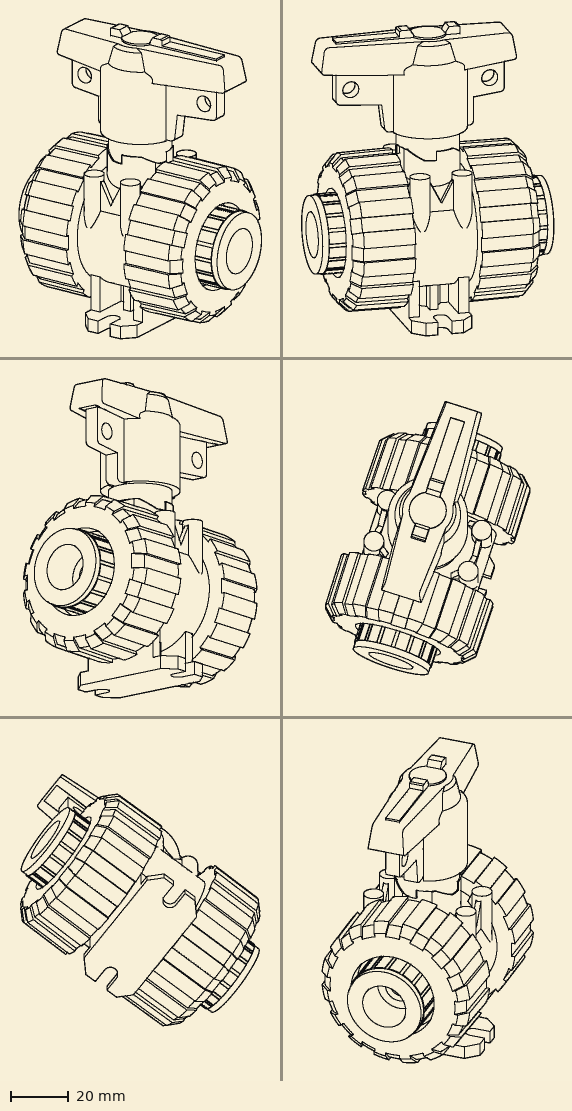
import cadquery as cq
import math

overall_height = 105.2
overall_length = 83.0
nut_span = 55.2
foot_bottom = -32.9
lug_top = foot_bottom + overall_height

body_radius = 21.0
body_half_length = 24.2
bore_radius = 5.0
post_radius = 3.5
post_x = 7.6
post_y = 17.1
post_top = 23.6
web_thickness = 1.9
vee_tip = 13.6
vee_slope = 1.9
gusset_length = 6.8
gusset_tilt = 22.5
gusset_top = 22.3

neck_radius = 11.5
neck_half_width = 10.1
stem_radius = 11.0
ratchet_low = 26.9
ratchet_high = 30.2
ramp_start = 36.0
ramp_end = 69.0
ratchet_steps = 4

foot_top = -28.3
foot_half_x = 10.8
foot_half_y = 22.1
foot_corner_x = 4.1
foot_corner_y = 4.3
slot_radius = 2.5
slot_center_y = 16.8
leg_half_width = 14.4
leg_thickness = 3.8
rib_thickness = 2.9
rib_half_width = 8.0
boss_radius = 4.2

nut_inner_x = 12.0
nut_outer_x = 33.5
nut_chamfer = 3.2
nut_taper = 0.2
nut_recess_radius = 26.5
nut_recess_width = 5.2
nut_recess_count = 16
nut_mouth_radius = 15.5
nut_tip_radius = math.hypot(nut_span / 2, nut_recess_width / 2)

connector_end_x = overall_length / 2
connector_radius = 14.0
collar_radius = 13.7
collar_length = 2.3
flange_thickness = 3.2
flange_end_x = body_half_length + flange_thickness
socket_radius = 8.0
groove_width = 1.3
groove_count = 16

hub_radius = 13.8
hub_bottom = 35.8
hub_shoulder = 58.9
shoulder_radius = 12.9
shoulder_top = 60.5
cone_base_radius = 11.4
cone_base = 61.5
cone_top_radius = 9.8
cone_top = 68.0
crown_radius = 8.7
grip_top = 69.4
grip_bottom = 58.1
grip_end_bottom = 59.9
grip_left = -30.1
grip_right = 40.1
grip_end_slant = 1.6
grip_knee = 11.0
grip_top_fillet = 1.9
grip_end_fillet = 1.0
grip_top_half_widths = (6.0, 8.1, 5.5)
grip_bottom_half_widths = (7.5, 9.1, 6.9)
handle_slot_width = 7.2
slot_ceiling = grip_end_bottom
stem_top = 46.9

key_thickness = 5.0
key_left = -26.8
key_right = 33.5
key_edge_z = 47.1
key_leg_z = 45.9
key_leg_left = -15.8
key_leg_right = 17.2
key_leg_slant = 1.3
key_fillet = 1.7
hole_radius = 2.8
hole_z = 52.4
hole_left_x = -21.6
hole_right_x = 28.3
cap_radius = 6.4
cap_top = 70.0
lug_outer_x = 10.8
lug_base_x = 5.6
lug_inner_x = 6.9
lug_bevel_x = 0.7
lug_bevel_z = 0.3


def cylinder_z(radius, bottom, top):
    return cq.Workplane("XY").workplane(offset=bottom).circle(radius).extrude(top - bottom)


def cylinder_x(radius, start, end):
    return cq.Workplane("YZ").workplane(offset=start).circle(radius).extrude(end - start)


def block(x_range, y_range, z_range):
    size = [high - low for low, high in (x_range, y_range, z_range)]
    return cq.Workplane("XY").box(*size, centered=False).translate((x_range[0], y_range[0], z_range[0]))


def centered_block(half_x, half_y, bottom, top):
    return block((-half_x, half_x), (-half_y, half_y), (bottom, top))


def turned_about_x(points):
    return cq.Workplane("XY").polyline(points).close().revolve(360, (0, 0), (1, 0))


def plate_xz(points, thickness):
    """Plate lying in the XZ plane, centred on y = 0."""
    return cq.Workplane("XZ").polyline(points).close().extrude(thickness / 2, both=True)


def ratchet_block(bottom):
    reach = 2 * neck_radius
    middle_angle = (ramp_start + ramp_end) / 2
    ramp_half = neck_radius * math.sin(math.radians(ramp_end - ramp_start) / 2)
    profile = [
        (-reach, bottom),
        (reach, bottom),
        (reach, ratchet_low),
        (ramp_half, ratchet_low),
        (-ramp_half, ratchet_high),
        (-reach, ratchet_high),
    ]
    step = cq.Workplane("YZ").polyline(profile).close().extrude(reach, both=True)
    step = step.rotate((0, 0, 0), (0, 0, 1), middle_angle)
    step = step.intersect(block((0, reach), (0, reach), (bottom, ratchet_high)))
    ratchet = step
    for index in range(1, ratchet_steps):
        ratchet = ratchet.union(step.rotate((0, 0, 0), (0, 0, 1), index * 360 / ratchet_steps))
    return ratchet


def make_neck():
    neck = ratchet_block(0).intersect(cylinder_z(neck_radius, 0, ratchet_high))
    return neck.intersect(centered_block(neck_half_width, neck_radius, 0, ratchet_high))


def make_post_pair():
    """Two posts on the +Y side, the V-notched web between them and a gusset on each."""
    vee_half = (post_top - vee_tip) / vee_slope
    web = centered_block(post_x, web_thickness / 2, 0, post_top)
    vee = plate_xz([(0, vee_tip), (vee_half, post_top), (-vee_half, post_top)], 2 * web_thickness)
    pair = web.cut(vee).translate((0, post_y, 0))
    for side in (-1, 1):
        pair = pair.union(cylinder_z(post_radius, 0, post_top).translate((side * post_x, post_y, 0)))
        gusset_end_top = gusset_top - vee_slope * (gusset_length - post_radius)
        gusset = (
            cq.Workplane("YZ")
            .polyline([(0, 0), (-gusset_length, 0), (-gusset_length, gusset_end_top),
                       (-post_radius, gusset_top), (0, gusset_top)])
            .close()
            .extrude(web_thickness / 2, both=True)
            .rotate((0, 0, 0), (0, 0, 1), side * gusset_tilt)
            .translate((side * post_x, post_y, 0))
        )
        pair = pair.union(gusset)
    return pair


def make_foot():
    plate = centered_block(foot_half_x, foot_half_y, foot_bottom, foot_top)
    corner_points = [
        (foot_half_x, foot_half_y - foot_corner_y),
        (foot_half_x, foot_half_y),
        (foot_half_x - foot_corner_x, foot_half_y),
    ]
    height = foot_top - foot_bottom
    for x_side in (-1, 1):
        for y_side in (-1, 1):
            points = [(x_side * x, y_side * y) for x, y in corner_points]
            corner = cq.Workplane("XY").workplane(offset=foot_bottom).polyline(points).close()
            plate = plate.cut(corner.extrude(height))
    for y_side in (-1, 1):
        slot_end = cylinder_z(slot_radius, foot_bottom, foot_top).translate((0, slot_center_y * y_side, 0))
        y_range = sorted((slot_center_y * y_side, foot_half_y * y_side))
        opening = block((-slot_radius, slot_radius), y_range, (foot_bottom, foot_top))
        plate = plate.cut(slot_end).cut(opening)
    leg_inner = foot_half_x - leg_thickness
    z_range = (foot_top, 0)
    legs = centered_block(foot_half_x, leg_half_width, *z_range)
    legs = legs.cut(centered_block(leg_inner, leg_half_width, *z_range))
    ribs = centered_block(leg_inner, rib_thickness / 2, *z_range)
    ribs = ribs.union(centered_block(rib_thickness / 2, rib_half_width, *z_range))
    boss = cylinder_z(boss_radius, *z_range)
    return plate.union(legs).union(ribs).union(boss)


def make_body():
    posts = make_post_pair()
    body = cylinder_x(body_radius, -body_half_length, body_half_length)
    body = body.union(make_neck()).union(posts).union(posts.mirror("XZ")).union(make_foot())
    return body.cut(cylinder_x(bore_radius, -body_half_length, body_half_length))


def nut_blank(radius):
    chamfer_x = nut_outer_x - nut_chamfer
    return turned_about_x([
        (nut_inner_x, 0),
        (nut_inner_x, radius),
        (chamfer_x, radius - nut_taper),
        (nut_outer_x, radius - nut_taper - nut_chamfer),
        (nut_outer_x, 0),
    ])


def make_nut():
    teeth = nut_blank(nut_tip_radius)
    half_width = nut_recess_width / 2
    recess = block((nut_inner_x, nut_outer_x), (-half_width, half_width), (body_radius, nut_span))
    for index in range(nut_recess_count):
        teeth = teeth.cut(recess.rotate((0, 0, 0), (1, 0, 0), index * 360 / nut_recess_count))
    nut = teeth.union(nut_blank(nut_recess_radius))
    nut = nut.cut(cylinder_x(body_radius, nut_inner_x, flange_end_x))
    return nut.cut(cylinder_x(nut_mouth_radius, flange_end_x, nut_outer_x))


def make_connector():
    collar_x = connector_end_x - collar_length
    connector = turned_about_x([
        (body_half_length, 0),
        (body_half_length, body_radius),
        (flange_end_x, body_radius),
        (flange_end_x, connector_radius),
        (collar_x, connector_radius),
        (collar_x, collar_radius),
        (connector_end_x, collar_radius),
        (connector_end_x, 0),
    ])
    half_width = groove_width / 2
    groove = block((flange_end_x, collar_x), (-half_width, half_width), (collar_radius, nut_mouth_radius))
    for index in range(groove_count):
        connector = connector.cut(groove.rotate((0, 0, 0), (1, 0, 0), index * 360 / groove_count))
    connector = connector.cut(cylinder_x(bore_radius, body_half_length, connector_end_x))
    return connector.cut(cylinder_x(socket_radius, flange_end_x, connector_end_x))


def grip_outline(half_widths):
    left, middle, right = half_widths
    return [
        (grip_left, -left),
        (0, -middle),
        (grip_right, -right),
        (grip_right, right),
        (0, middle),
        (grip_left, left),
    ]


def make_grip():
    drafted = (
        cq.Workplane("XY")
        .workplane(offset=grip_bottom)
        .polyline(grip_outline(grip_bottom_half_widths))
        .close()
        .workplane(offset=grip_top - grip_bottom)
        .polyline(grip_outline(grip_top_half_widths))
        .close()
        .loft(ruled=True)
    )
    side_profile = plate_xz([
        (grip_left, grip_end_bottom),
        (-grip_knee, grip_bottom),
        (grip_knee, grip_bottom),
        (grip_right, grip_end_bottom),
        (grip_right - grip_end_slant, grip_top),
        (grip_left + grip_end_slant, grip_top),
    ], 2 * hub_radius)
    side_profile = side_profile.edges("|Y and >Z").fillet(grip_top_fillet)
    side_profile = side_profile.edges("|Y and (<X or >X)").fillet(grip_end_fillet)
    return drafted.intersect(side_profile)


def make_hub():
    return (
        cq.Workplane("XZ")
        .moveTo(0, hub_bottom)
        .lineTo(hub_radius, hub_bottom)
        .lineTo(hub_radius, hub_shoulder)
        .tangentArcPoint((shoulder_radius, shoulder_top), relative=False)
        .lineTo(cone_base_radius, cone_base)
        .lineTo(cone_top_radius, cone_top)
        .lineTo(crown_radius, grip_top)
        .lineTo(0, grip_top)
        .close()
        .revolve(360, (0, 0), (0, 1))
    )


def make_handle(key):
    handle = make_hub().union(make_grip())
    handle = handle.cut(block((grip_left, grip_right),
                              (-handle_slot_width / 2, handle_slot_width / 2),
                              (hub_bottom, slot_ceiling)))
    stem = cylinder_z(stem_radius, ratchet_low, stem_top).cut(ratchet_block(0))
    return handle.union(stem).cut(key)


def make_key_plate():
    plate = plate_xz([
        (key_left, slot_ceiling),
        (key_left, key_edge_z),
        (key_leg_left, key_leg_z),
        (key_leg_left, hub_bottom),
        (key_leg_right - key_leg_slant, hub_bottom),
        (key_leg_right, key_leg_z),
        (key_right, key_edge_z),
        (key_right, slot_ceiling),
    ], key_thickness)
    plate = plate.edges("|Y and (<Z or <X or >X)").edges("not >Z").fillet(key_fillet)
    for x in (hole_left_x, hole_right_x):
        hole = cq.Workplane("XZ").center(x, hole_z).circle(hole_radius)
        plate = plate.cut(hole.extrude(key_thickness, both=True))
    return plate.cut(cylinder_z(stem_radius, hub_bottom, stem_top))


def make_key():
    half_thickness = key_thickness / 2
    key = make_key_plate()
    key = key.union(block((-lug_outer_x, key_right), (-half_thickness, half_thickness),
                          (slot_ceiling, cap_top)))
    key = key.union(cylinder_z(cap_radius, grip_top, cap_top))
    for side in (-1, 1):
        lug = plate_xz([
            (side * lug_outer_x, cap_top),
            (side * lug_outer_x, lug_top - lug_bevel_z),
            (side * (lug_outer_x - lug_bevel_x), lug_top),
            (side * lug_inner_x, lug_top),
            (side * lug_base_x, cap_top),
        ], key_thickness)
        key = key.union(lug)
    return key


body = make_body()
key = make_key()
handle = make_handle(key)
nut = make_nut()
connector = make_connector()
nuts = []
connectors = []
for turn in (0, 180):
    nuts.append(nut.rotate((0, 0, 0), (0, 0, 1), turn))
    connectors.append(connector.rotate((0, 0, 0), (0, 0, 1), turn))

result = cq.Compound.makeCompound([
    *body.solids().vals(),
    *handle.solids().vals(),
    *key.solids().vals(),
    *[side_nut.solids().val() for side_nut in nuts],
    *[side_connector.solids().val() for side_connector in connectors],
])